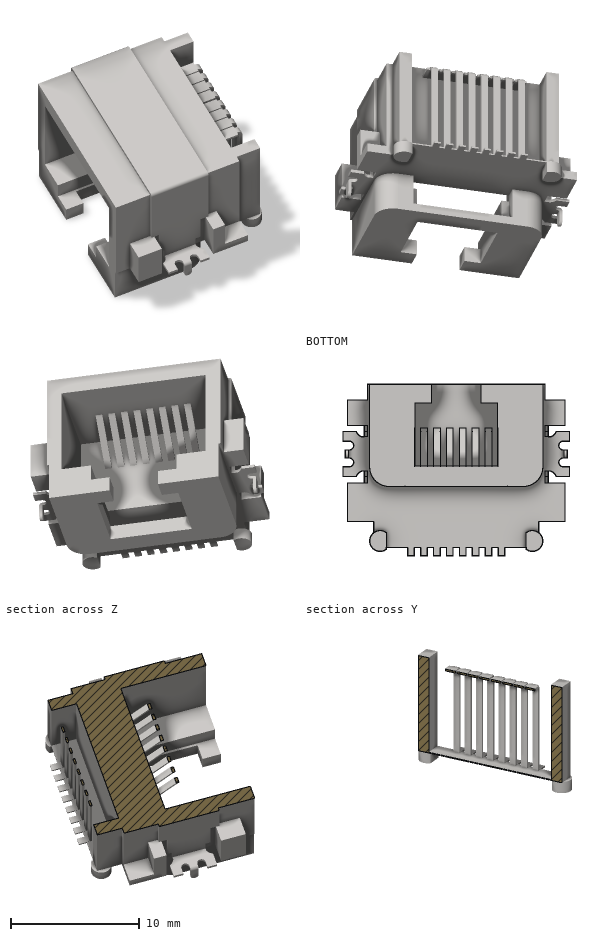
import cadquery as cq


HOUSING_WIDTH = 13.88
HOUSING_TOP = 8.15
HOUSING_DEPTH = 10.73
LOWER_WIDTH = 13.52
LOWER_DEPTH = 7.98
LOWER_BOTTOM = -3.17
LOWER_CORNER_RADIUS = 1.5

OPENING_WIDTH = 11.5
OPENING_TOP = 6.75
OPENING_FLOOR = -0.55
OPENING_DEPTH = 6.97
LATCH_WIDTH = 6.83
LATCH_FLOOR = -1.91
PIT_WIDTH = 6.48
PIT_FRONT = 1.49
PIT_REAR = 6.4
ENTRY_WIDTH = 3.85
EXIT_WIDTH = 8.04
EXIT_FLOOR = -2.5

ARM_OUTER = 6.46
ARM_INNER = 5.45
ARM_REAR = 12.76
REAR_FLOOR_THICKNESS = 0.1
PEG_X = 5.95
PEG_Y = 12.25
PEG_RADIUS = 0.81
PEG_LENGTH = 0.95

BLOCK_OUTER = 8.5
BLOCK_TOP = 3.05
FRONT_BLOCK_START = 1.22
BLOCK_DEPTH = 2.02
REAR_BLOCK_START = 7.7
REAR_BLOCK_STEP = 8.73
REAR_FOOT_TOP = 0.7

SHELL_THICKNESS = 0.25
SHELL_CENTRE_Y = 5.45
SHELL_WIDTH = HOUSING_WIDTH + 2 * SHELL_THICKNESS
SHELL_TOP = HOUSING_TOP + SHELL_THICKNESS
SHELL_HALF_DEPTH = 2.48
SHELL_SHOULDER_Z = 3.1
SHELL_LEG_HALF_DEPTH = 1.77
SHELL_NECK_Z = 0.95
SHELL_NECK_HALF_DEPTH = 1.35

TAB_OUTER = 8.85
TAB_FLARE_START = 7.38
TAB_FLARE_END = 7.8
TAB_FLARE_RADIUS = 0.75
TAB_SLOT_RADIUS = 0.34
TAB_SLOT_OFFSET = 0.65
TAB_SLOT_END = 8.02
PRONG_OUTER = 8.67
PRONG_WIDTH = 2 * (TAB_SLOT_OFFSET - TAB_SLOT_RADIUS)
PRONG_BOTTOM = -1.2
PRONG_TIP_HEIGHT = PRONG_WIDTH / 2

CONTACT_COUNT = 8
CONTACT_PITCH = 1.01
CONTACT_WIDTH = 0.53
CONTACT_THICKNESS = 0.2
SPRING_BOTTOM = 4.07
SPRING_RUN = 3.54
LEAD_TOP = 7.5
LEAD_PLATE_WIDTH = 0.92
LEAD_PLATE_OFFSET = 0.04
LEAD_PLATE_REAR = 12.05
LEAD_LEG_REAR = 12.51
LEAD_FOOT_END = 13.4
LEAD_FOOT_THICKNESS = 0.15


def box(x_range, y_range, z_range):
    """Box between two limits along each axis."""
    size = [high - low for low, high in (x_range, y_range, z_range)]
    corner = (x_range[0], y_range[0], z_range[0])
    return cq.Workplane("XY").box(*size, centered=False).translate(corner)


def centred_box(width, y_range, z_range):
    """Box of the given width, centred on X = 0."""
    return box((-width / 2, width / 2), y_range, z_range)


def both_sides(part):
    """The part together with its mirror image across X = 0."""
    return part.union(part.mirror("YZ"))


def side_profile(points, x_start, thickness):
    """Closed outline of (y, z) points, extruded along +X from x_start."""
    outline = cq.Workplane("YZ", origin=(x_start, 0, 0)).polyline(points).close()
    return outline.extrude(thickness)


def make_housing():
    upper = centred_box(HOUSING_WIDTH, (0, HOUSING_DEPTH), (0, HOUSING_TOP))
    lower = centred_box(LOWER_WIDTH, (0, LOWER_DEPTH), (LOWER_BOTTOM, 0))
    lower = lower.edges("|Z and >Y").fillet(LOWER_CORNER_RADIUS)
    arm = box((ARM_INNER, ARM_OUTER), (HOUSING_DEPTH, ARM_REAR), (0, HOUSING_TOP))
    floor = centred_box(2 * ARM_INNER, (HOUSING_DEPTH, ARM_REAR), (0, REAR_FLOOR_THICKNESS))
    return upper.union(lower).union(both_sides(arm)).union(floor)


def make_peg():
    """Round locating peg, cut flat in line with the inner face of its arm."""
    peg = cq.Workplane("XY").center(PEG_X, PEG_Y).circle(PEG_RADIUS).extrude(-PEG_LENGTH)
    keep = box((ARM_INNER, BLOCK_OUTER), (HOUSING_DEPTH, LEAD_FOOT_END), (-PEG_LENGTH, 0))
    return peg.intersect(keep)


def make_side_blocks():
    inner = LOWER_WIDTH / 2
    front_end = FRONT_BLOCK_START + BLOCK_DEPTH
    front = box((inner, BLOCK_OUTER), (FRONT_BLOCK_START, front_end), (0, BLOCK_TOP))
    rear_outline = [
        (REAR_BLOCK_START, 0),
        (HOUSING_DEPTH, 0),
        (HOUSING_DEPTH, REAR_FOOT_TOP),
        (REAR_BLOCK_STEP, REAR_FOOT_TOP),
        (REAR_BLOCK_STEP, BLOCK_TOP),
        (REAR_BLOCK_START, BLOCK_TOP),
    ]
    rear = side_profile(rear_outline, inner, BLOCK_OUTER - inner)
    return front.union(rear)


def make_opening():
    """Everything removed from the housing to receive the plug and its latch."""
    plug = centred_box(OPENING_WIDTH, (0, OPENING_DEPTH), (OPENING_FLOOR, OPENING_TOP))
    latch = centred_box(LATCH_WIDTH, (0, OPENING_DEPTH), (LATCH_FLOOR, OPENING_FLOOR))
    pit = centred_box(PIT_WIDTH, (PIT_FRONT, PIT_REAR), (LOWER_BOTTOM, LATCH_FLOOR))
    entry = centred_box(ENTRY_WIDTH, (0, PIT_FRONT), (LOWER_BOTTOM, LATCH_FLOOR))
    rear_exit = centred_box(EXIT_WIDTH, (OPENING_DEPTH, LOWER_DEPTH), (EXIT_FLOOR, 0))
    return plug.union(latch).union(pit).union(entry).union(rear_exit)


def make_shell_cover():
    """Bent sheet over the top and sides, narrowing in two steps towards the seating plane."""
    y_range = (SHELL_CENTRE_Y - SHELL_HALF_DEPTH, SHELL_CENTRE_Y + SHELL_HALF_DEPTH)
    cover = centred_box(SHELL_WIDTH, y_range, (0, SHELL_TOP))
    cover = cover.edges("|Y and >Z").fillet(SHELL_THICKNESS)
    cover = cover.cut(centred_box(HOUSING_WIDTH, y_range, (0, HOUSING_TOP)))
    half_outline = [
        (SHELL_NECK_HALF_DEPTH, 0),
        (SHELL_NECK_HALF_DEPTH, SHELL_NECK_Z),
        (SHELL_LEG_HALF_DEPTH, SHELL_NECK_Z),
        (SHELL_LEG_HALF_DEPTH, SHELL_SHOULDER_Z),
        (SHELL_HALF_DEPTH, SHELL_SHOULDER_Z),
        (SHELL_HALF_DEPTH, SHELL_TOP),
    ]
    rear_edge = [(SHELL_CENTRE_Y + y, z) for y, z in half_outline]
    front_edge = [(SHELL_CENTRE_Y - y, z) for y, z in reversed(half_outline)]
    outline = side_profile(rear_edge + front_edge, -SHELL_WIDTH / 2, SHELL_WIDTH)
    return cover.intersect(outline)


def make_tab():
    """Flat solder tab with two open slots; the tongue between them is bent down as a prong."""
    wall_x = HOUSING_WIDTH / 2
    neck = SHELL_NECK_HALF_DEPTH
    half = SHELL_LEG_HALF_DEPTH
    tab = (
        cq.Workplane("XY", origin=(0, SHELL_CENTRE_Y, 0))
        .moveTo(wall_x, -neck)
        .lineTo(TAB_FLARE_START, -neck)
        .radiusArc((TAB_FLARE_END, -half), TAB_FLARE_RADIUS)
        .lineTo(TAB_OUTER, -half)
        .lineTo(TAB_OUTER, half)
        .lineTo(TAB_FLARE_END, half)
        .radiusArc((TAB_FLARE_START, neck), TAB_FLARE_RADIUS)
        .lineTo(wall_x, neck)
        .close()
        .extrude(SHELL_THICKNESS)
    )
    for side in (-1, 1):
        slot_y = SHELL_CENTRE_Y + side * TAB_SLOT_OFFSET
        centre_x = TAB_SLOT_END + TAB_SLOT_RADIUS
        slot_y_range = (slot_y - TAB_SLOT_RADIUS, slot_y + TAB_SLOT_RADIUS)
        slot = box((centre_x, TAB_OUTER), slot_y_range, (0, SHELL_THICKNESS))
        slot_end = (
            cq.Workplane("XY")
            .center(centre_x, slot_y)
            .circle(TAB_SLOT_RADIUS)
            .extrude(SHELL_THICKNESS)
        )
        tab = tab.cut(slot).cut(slot_end)

    prong_y_range = (SHELL_CENTRE_Y - PRONG_WIDTH / 2, SHELL_CENTRE_Y + PRONG_WIDTH / 2)
    bend = box((PRONG_OUTER - SHELL_THICKNESS, TAB_OUTER), prong_y_range, (0, SHELL_THICKNESS))
    bend_round = (
        cq.Workplane("XZ", origin=(0, prong_y_range[1], 0))
        .center(PRONG_OUTER - SHELL_THICKNESS, 0)
        .circle(SHELL_THICKNESS)
        .extrude(PRONG_WIDTH)
    )
    tab = tab.cut(bend.cut(bend_round))
    prong = (
        cq.Workplane("YZ", origin=(PRONG_OUTER - SHELL_THICKNESS, 0, 0))
        .moveTo(prong_y_range[0], 0)
        .lineTo(prong_y_range[0], PRONG_BOTTOM + PRONG_TIP_HEIGHT)
        .threePointArc(
            (SHELL_CENTRE_Y, PRONG_BOTTOM), (prong_y_range[1], PRONG_BOTTOM + PRONG_TIP_HEIGHT)
        )
        .lineTo(prong_y_range[1], 0)
        .close()
        .extrude(SHELL_THICKNESS)
    )
    return tab.union(prong)


def make_contact(x):
    """Spring inside the opening plus the lead that leaves the rear wall and bends to the foot."""
    side = 1 if x > 0 else -1
    left = x - CONTACT_WIDTH / 2

    spring_rise = OPENING_TOP - SPRING_BOTTOM
    spring_front = OPENING_DEPTH - SPRING_RUN
    spring_outline = [
        (OPENING_DEPTH, SPRING_BOTTOM),
        (OPENING_DEPTH, SPRING_BOTTOM + CONTACT_THICKNESS),
        (spring_front + SPRING_RUN * CONTACT_THICKNESS / spring_rise, OPENING_TOP),
        (spring_front, OPENING_TOP),
    ]
    spring = side_profile(spring_outline, left, CONTACT_WIDTH)

    plate_x = x + side * LEAD_PLATE_OFFSET
    plate = box(
        (plate_x - LEAD_PLATE_WIDTH / 2, plate_x + LEAD_PLATE_WIDTH / 2),
        (HOUSING_DEPTH, LEAD_PLATE_REAR),
        (LEAD_TOP - CONTACT_THICKNESS, LEAD_TOP),
    )

    outer_radius = LEAD_LEG_REAR - LEAD_PLATE_REAR
    inner_radius = outer_radius - CONTACT_THICKNESS
    bend_z = LEAD_TOP - outer_radius
    leg = (
        cq.Workplane("YZ", origin=(left, 0, 0))
        .moveTo(LEAD_PLATE_REAR, LEAD_TOP)
        .radiusArc((LEAD_LEG_REAR, bend_z), outer_radius)
        .lineTo(LEAD_LEG_REAR, LEAD_FOOT_THICKNESS)
        .lineTo(LEAD_FOOT_END, LEAD_FOOT_THICKNESS)
        .lineTo(LEAD_FOOT_END, 0)
        .lineTo(LEAD_LEG_REAR - CONTACT_THICKNESS, 0)
        .lineTo(LEAD_LEG_REAR - CONTACT_THICKNESS, bend_z)
        .radiusArc((LEAD_PLATE_REAR, LEAD_TOP - CONTACT_THICKNESS), -inner_radius)
        .close()
        .extrude(CONTACT_WIDTH)
    )
    return spring.union(plate).union(leg)


result = make_housing().union(both_sides(make_side_blocks())).union(both_sides(make_peg()))
result = result.cut(make_opening())
result = result.union(make_shell_cover()).union(both_sides(make_tab()))
for index in range(CONTACT_COUNT):
    contact_x = (index - (CONTACT_COUNT - 1) / 2) * CONTACT_PITCH
    result = result.union(make_contact(contact_x))